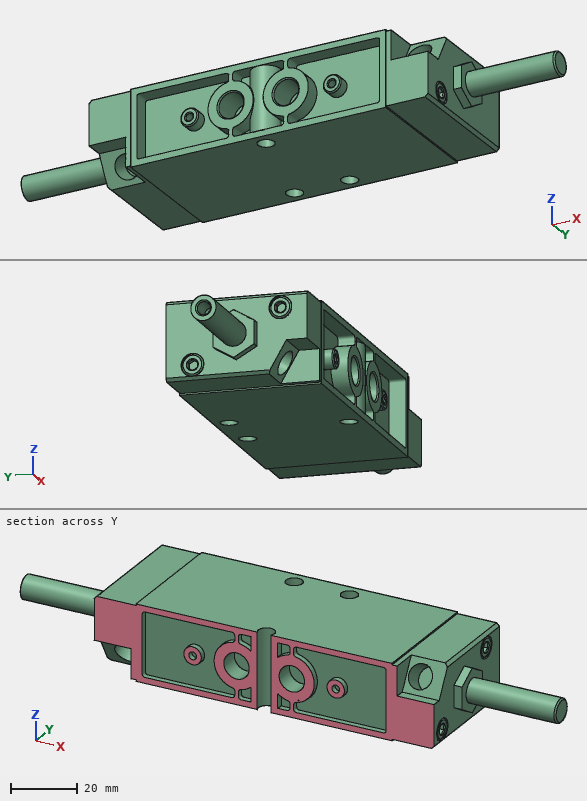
import cadquery as cq
import math

BODY_LENGTH = 88.0
BODY_WIDTH = 45.0
BODY_HEIGHT = 26.0
FRONT_Y = -BODY_WIDTH / 2

CAP_END_X = 58.5
CAP_WIDTH = 44.6
CAP_HEIGHT = 25.0
CAP_EDGE_CHAMFER = 1.0

NOTCH_START_X = 45.8
NOTCH_LEDGE_Z = 2.5
NOTCH_TOP_Y = -10.1
NOTCH_SLOPE_ANGLE = 30.0
CONNECTOR_X = 50.5
CONNECTOR_DIAMETER = 8.0
CONNECTOR_DEPTH = 7.4

OVERALL_LENGTH = 184.0
STEM_DIAMETER = 8.0
STEM_CHAMFER = 0.5
HEX_ACROSS_FLATS = 13.0
HEX_THICKNESS = 2.8
STEM_HOLE_DIAMETER = 4.13
STEM_HOLE_MOUTH = 5.0
STEM_HOLE_DEPTH = 8.0
DRILL_POINT_ANGLE = 118.0

SCREW_Y = 13.9
SCREW_Z = 7.9
SCREW_RECESS_DIAMETER = 7.1
SCREW_FACE_DIAMETER = 5.9
SCREW_SOCKET_FLATS = 3.0
SCREW_SOCKET_MOUTH = 3.8
SCREW_SOCKET_DEPTH = 2.0

POCKET_WALL = 2.15
POCKET_DEPTH = 5.4
POCKET_CORNER_RADIUS = 0.8
PORT_X = 9.5
PORT_BOSS_DIAMETER = 15.6
PORT_DIAMETER = 8.57
PORT_MOUTH = 9.4
PORT_DEPTH = 10.0
WEB_THICKNESS = 1.4
WEB_FILLET = 0.9
POCKET_LENGTH = BODY_LENGTH - 2 * POCKET_WALL
POCKET_HEIGHT = BODY_HEIGHT - 2 * POCKET_WALL
POCKET_FLOOR_Y = FRONT_Y + POCKET_DEPTH

PIN_X = 24.6
PIN_DIAMETER = 6.15
PIN_LENGTH = 4.0
PIN_CHAMFER = 0.4
PIN_HOLE_DIAMETER = 2.46
PIN_HOLE_MOUTH = 3.1
PIN_HOLE_DEPTH = 4.0

MOUNT_DIAMETER = 5.5
MOUNT_Y = 17.5
SLEEVE_DIAMETER = 9.8


def y_cylinder(x, start_y, diameter, length):
    """Cylinder along +Y from start_y, centred on height zero."""
    base = cq.Vector(x, start_y, 0)
    return cq.Workplane(cq.Solid.makeCylinder(diameter / 2, length, base, cq.Vector(0, 1, 0)))


def y_hole(x, start_y, diameter, mouth, depth):
    """Hole cutter along +Y with a 45 degree chamfered mouth."""
    chamfer = (mouth - diameter) / 2
    base = cq.Vector(x, start_y, 0)
    cone = cq.Solid.makeCone(mouth / 2, diameter / 2, chamfer, base, cq.Vector(0, 1, 0))
    return y_cylinder(x, start_y, diameter, depth).union(cq.Workplane(cone))


def hexagon_prism(start_x, across_flats, thickness, y=0, z=0):
    """Hexagonal prism along +X with two flats square to Y."""
    corner_diameter = across_flats / math.cos(math.pi / 6)
    plane = cq.Plane(origin=(start_x, y, z), xDir=(0, 0, 1), normal=(1, 0, 0))
    return cq.Workplane(plane).polygon(6, corner_diameter).extrude(thickness)


def make_body():
    """Body block with its pocket, bosses, webs, pins and holes."""
    body = cq.Workplane().box(BODY_LENGTH, BODY_WIDTH, BODY_HEIGHT)
    pocket = cq.Workplane().box(POCKET_LENGTH, POCKET_DEPTH, POCKET_HEIGHT)
    pocket = pocket.edges("|Y").fillet(POCKET_CORNER_RADIUS)
    pocket = pocket.translate((0, FRONT_Y + POCKET_DEPTH / 2, 0))
    for x in (-PORT_X, PORT_X):
        web = cq.Workplane().box(WEB_THICKNESS, POCKET_DEPTH, POCKET_HEIGHT)
        boss = y_cylinder(x, FRONT_Y, PORT_BOSS_DIAMETER, POCKET_DEPTH)
        pocket = pocket.cut(web.translate((x, FRONT_Y + POCKET_DEPTH / 2, 0))).cut(boss)
    for x in (-PORT_X, PORT_X):
        web_zone = cq.selectors.BoxSelector(
            (x - WEB_THICKNESS, FRONT_Y - 1, -BODY_HEIGHT),
            (x + WEB_THICKNESS, POCKET_FLOOR_Y + 1, BODY_HEIGHT),
        )
        pocket = pocket.edges("|Y").edges(web_zone).fillet(WEB_FILLET)
    body = body.cut(pocket)

    sleeve = cq.Workplane().cylinder(POCKET_HEIGHT, SLEEVE_DIAMETER / 2).rotate((0, 0, 0), (0, 0, 1), 90)
    body = body.union(sleeve.translate((0, -MOUNT_Y, 0)))
    for x in (-PORT_X, PORT_X):
        body = body.cut(y_hole(x, FRONT_Y, PORT_DIAMETER, PORT_MOUTH, PORT_DEPTH))

    pin_tip_y = POCKET_FLOOR_Y - PIN_LENGTH
    for x in (-PIN_X, PIN_X):
        pin = y_cylinder(x, pin_tip_y, PIN_DIAMETER, PIN_LENGTH).faces("<Y").chamfer(PIN_CHAMFER)
        body = body.union(pin)
        body = body.cut(y_hole(x, pin_tip_y, PIN_HOLE_DIAMETER, PIN_HOLE_MOUTH, PIN_HOLE_DEPTH))

    mount_points = [(-PORT_X, MOUNT_Y), (PORT_X, MOUNT_Y), (0, -MOUNT_Y)]
    mounts = cq.Workplane().pushPoints(mount_points).circle(MOUNT_DIAMETER / 2)
    return body.cut(mounts.extrude(BODY_HEIGHT, both=True))


def make_notch():
    """Cutter for the corner notch of the +X cap and its connector hole."""
    top_z = CAP_HEIGHT / 2
    slope_height = top_z - NOTCH_LEDGE_Z
    slope = math.radians(NOTCH_SLOPE_ANGLE)
    slope_run = slope_height * math.tan(slope)
    outline = [
        (NOTCH_TOP_Y, top_z),
        (NOTCH_TOP_Y - slope_run, NOTCH_LEDGE_Z),
        (FRONT_Y, NOTCH_LEDGE_Z),
        (FRONT_Y, top_z),
    ]
    plane = cq.Workplane("YZ", origin=(NOTCH_START_X, 0, 0))
    notch = plane.polyline(outline).close().extrude(CAP_END_X - NOTCH_START_X)
    centre = cq.Vector(CONNECTOR_X, NOTCH_TOP_Y - slope_run / 2, NOTCH_LEDGE_Z + slope_height / 2)
    inward = cq.Vector(0, math.cos(slope), -math.sin(slope))
    hole = cq.Solid.makeCylinder(CONNECTOR_DIAMETER / 2, CONNECTOR_DEPTH, centre, inward)
    return notch.union(cq.Workplane(hole))


def make_screw_recess(y, z):
    """Groove left by the chamfered rim of a flush screw head, plus its countersunk hexagonal socket."""
    centre = cq.Vector(CAP_END_X, y, z)
    inward = cq.Vector(-1, 0, 0)
    rim = SCREW_RECESS_DIAMETER / 2
    face = SCREW_FACE_DIAMETER / 2
    mouth = SCREW_SOCKET_MOUTH / 2
    socket = SCREW_SOCKET_FLATS / 2
    groove_depth = rim - face
    hole = cq.Solid.makeCylinder(rim, groove_depth, centre, inward)
    head = cq.Solid.makeCone(face, rim, groove_depth, centre, inward)
    countersink = cq.Solid.makeCone(mouth, socket, mouth - socket, centre, inward)
    socket_start = CAP_END_X - SCREW_SOCKET_DEPTH
    recess = cq.Workplane(hole.cut(head)).union(cq.Workplane(countersink))
    return recess.union(hexagon_prism(socket_start, SCREW_SOCKET_FLATS, SCREW_SOCKET_DEPTH, y, z))


def make_end():
    """Complete +X end: cap, notch, screws, hexagonal base and plain stem."""
    cap_length = CAP_END_X - BODY_LENGTH / 2
    cap = cq.Workplane().box(cap_length, CAP_WIDTH, CAP_HEIGHT)
    cap = cap.faces(">X").edges("|Y").chamfer(CAP_EDGE_CHAMFER)
    cap = cap.translate((CAP_END_X - cap_length / 2, 0, 0)).cut(make_notch())
    for side in (-1, 1):
        cap = cap.cut(make_screw_recess(side * SCREW_Y, side * SCREW_Z))
    stem_length = OVERALL_LENGTH / 2 - CAP_END_X
    stem = cq.Workplane("YZ", origin=(CAP_END_X, 0, 0)).circle(STEM_DIAMETER / 2)
    cap = cap.union(hexagon_prism(CAP_END_X, HEX_ACROSS_FLATS, HEX_THICKNESS))
    return cap.union(stem.extrude(stem_length))


def make_stem_hole():
    """Blind hole in the -X stem with a chamfered mouth and a drill point."""
    hole_radius = STEM_HOLE_DIAMETER / 2
    mouth_radius = STEM_HOLE_MOUTH / 2
    start_x = -OVERALL_LENGTH / 2
    floor_x = start_x + STEM_HOLE_DEPTH
    point_length = hole_radius / math.tan(math.radians(DRILL_POINT_ANGLE / 2))
    profile = [
        (start_x, 0),
        (start_x, mouth_radius),
        (start_x + mouth_radius - hole_radius, hole_radius),
        (floor_x, hole_radius),
        (floor_x + point_length, 0),
    ]
    return cq.Workplane("XY").polyline(profile).close().revolve(360, (0, 0, 0), (1, 0, 0))


right_end = make_end()
left_end = right_end.rotate((0, 0, 0), (0, 1, 0), 180).cut(make_stem_hole())
right_end = right_end.faces(">X").chamfer(STEM_CHAMFER)
result = make_body().union(right_end).union(left_end)